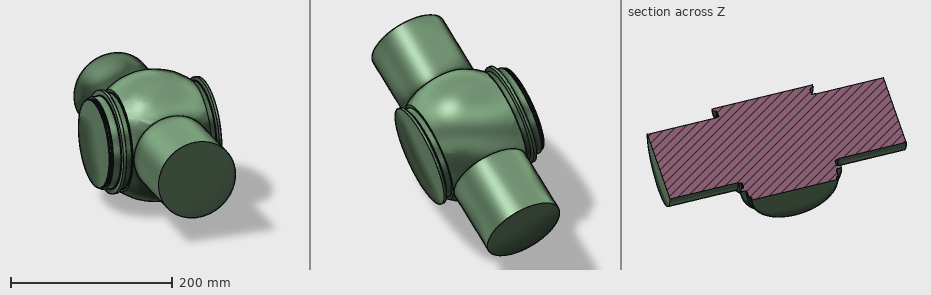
import cadquery as cq

pipe_length = 305.5
pipe_diameter = 101.8

ball_diameter = 165.0
body_width_x = 129.5
body_front = 52.0
body_back = 51.5

neck_diameter = 120.7
flange_diameter = 130.2
flange_face = 65.0
front_flange_thickness = 4.0
back_flange_thickness = 3.5
flange_taper = 1.8
base_bevel = 1.0

cap_diameter = 116.0
cap_height = 10.7
lip_diameter = 111.5
groove_diameter = 110.0
groove_width = 1.8
rear_lip_width = 1.2
cap_front = 80.7
lip_chamfer = 0.45

cap_shoulder = flange_face + cap_height
groove_back = cap_shoulder + rear_lip_width
groove_front = groove_back + groove_width


def revolve_about_y(profile):
    return cq.Workplane("XY").polyline(profile).close().revolve(360, (0, 0, 0), (0, 1, 0))


def make_body():
    ball = cq.Workplane("XY").sphere(ball_diameter / 2)
    envelope = cq.Workplane("XY").box(body_width_x, body_front + body_back, ball_diameter)
    envelope = envelope.translate((0, (body_back - body_front) / 2, 0))
    return ball.intersect(envelope)


def make_pipe():
    return cq.Workplane("YZ").circle(pipe_diameter / 2).extrude(pipe_length / 2, both=True)


def make_neck_bevel():
    """Bevelled ring where the front neck meets the flat of the body."""
    neck_radius = neck_diameter / 2
    profile = [
        (0, -body_front),
        (neck_radius + base_bevel, -body_front),
        (neck_radius, -body_front - base_bevel),
        (0, -body_front - base_bevel),
    ]
    return revolve_about_y(profile)


def make_turned_ends():
    """Revolve both flanged necks and the cap about Y as one half profile."""
    neck_radius = neck_diameter / 2
    flange_radius = flange_diameter / 2
    cap_radius = cap_diameter / 2
    lip_radius = lip_diameter / 2
    groove_radius = groove_diameter / 2
    back_flange_edge = flange_face - back_flange_thickness
    back_taper_end = back_flange_edge - flange_taper
    front_flange_edge = flange_face - front_flange_thickness
    front_taper_end = front_flange_edge - flange_taper
    profile = [
        (0, flange_face),
        (flange_radius, flange_face),
        (flange_radius, back_flange_edge),
        (neck_radius + base_bevel, back_taper_end),
        (neck_radius, back_taper_end - base_bevel),
        (neck_radius, -front_taper_end),
        (flange_radius, -front_flange_edge),
        (flange_radius, -flange_face),
        (cap_radius + base_bevel, -flange_face),
        (cap_radius, -flange_face - base_bevel),
        (cap_radius, -cap_shoulder),
        (lip_radius, -cap_shoulder),
        (lip_radius, -groove_back),
        (groove_radius, -groove_back),
        (groove_radius, -groove_front),
        (lip_radius, -groove_front),
        (lip_radius, -cap_front + lip_chamfer),
        (lip_radius - lip_chamfer, -cap_front),
        (0, -cap_front),
    ]
    return revolve_about_y(profile)


result = make_body().union(make_pipe()).union(make_turned_ends()).union(make_neck_bevel())